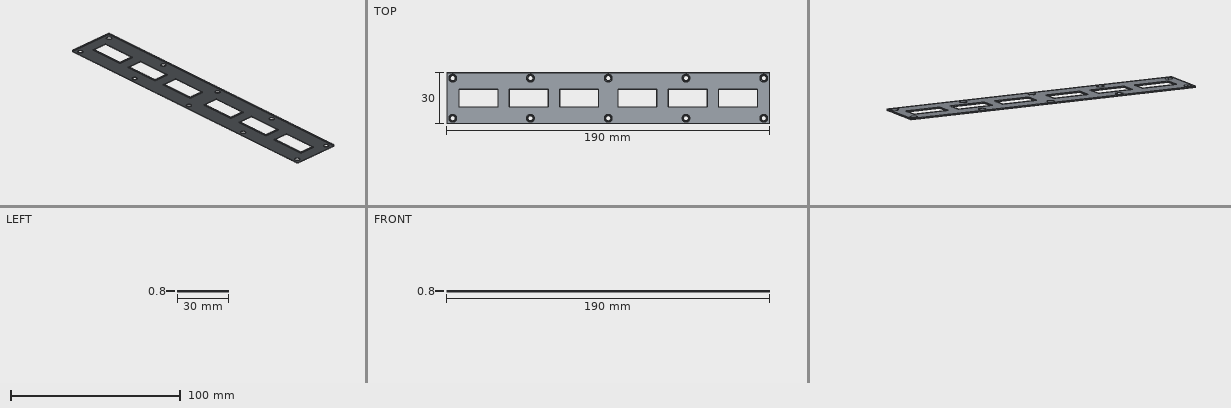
import cadquery as cq

length = 190.0
width = 30.0
thickness = 0.8

rows = 2
holes_per_row = 5
hole_end_inset = 3.5
hole_row_spacing = 23.6
hole_top_diameter = 4.6
hole_bottom_diameter = hole_top_diameter - 2 * thickness
hole_pitch = (length - 2 * hole_end_inset) / (holes_per_row - 1)

windows_per_group = 3
window_length = 22.7
window_width = 10.3
window_pitch = 29.6
inner_window_offset = 17.15


def make_plate():
    return cq.Workplane("XY").box(length, width, thickness, centered=(True, True, False))


def make_windows():
    offsets = [inner_window_offset + i * window_pitch for i in range(windows_per_group)]
    centres = [(side * offset, 0) for side in (-1, 1) for offset in offsets]
    return cq.Workplane("XY").pushPoints(centres).rect(window_length, window_width).extrude(thickness)


def make_screw_holes():
    cone = cq.Solid.makeCone(hole_bottom_diameter / 2, hole_top_diameter / 2, thickness)
    return (
        cq.Workplane("XY")
        .rarray(hole_pitch, hole_row_spacing, holes_per_row, rows)
        .eachpoint(lambda location: cone.moved(location))
    )


result = make_plate().cut(make_windows()).cut(make_screw_holes())